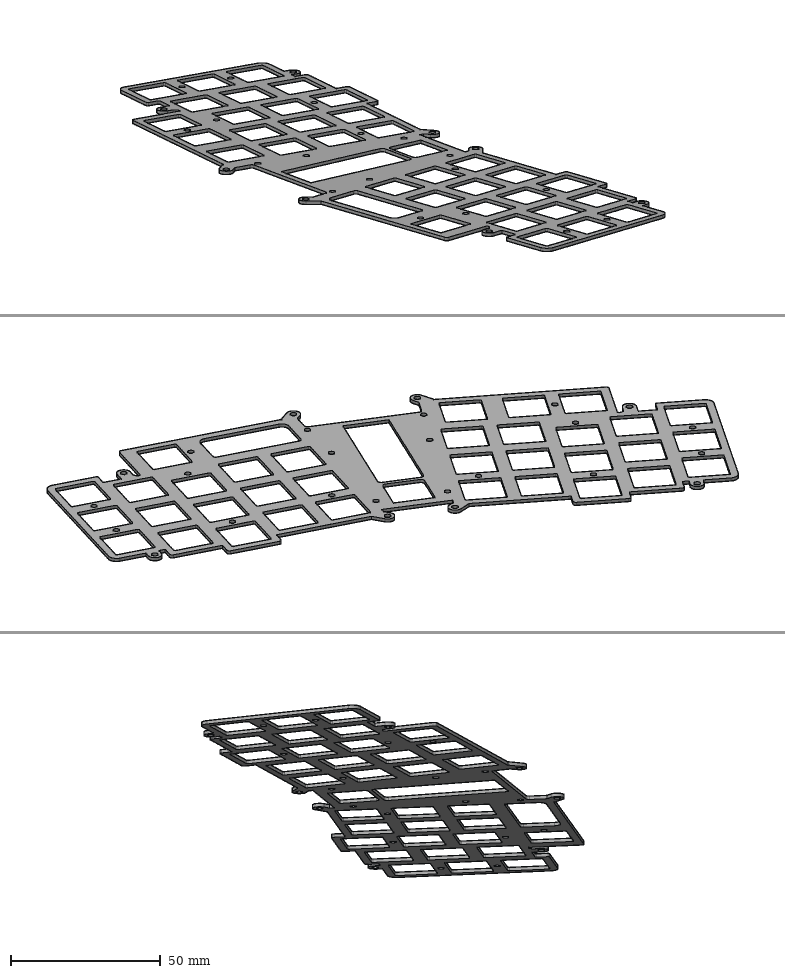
import cadquery as cq
import math


thickness = 1.2
pitch = 19.05
tilt = 7.0
grid_origin = (-100.55, 30.33)
key_opening = 14.3
rim = 9.84
stagger = pitch / 4
rows = 3
column_offsets = [0, stagger, 2 * stagger, stagger, stagger]

thumb_v = -2.75 * pitch
left_thumb_u = [1.75 * pitch, 2.75 * pitch, 3.875 * pitch]
right_thumb_u = 1.875 * pitch
wide_key_u = 3.5 * pitch
wide_opening = (32.0, 13.9)

step_u = pitch / 2
inner_u = 87.5
thumb_left_u = 23.1
first_column_bottom = -(rows - 1) * pitch - rim
second_column_bottom = first_column_bottom + stagger
bridge_top = 30.9
bridge_bottom = -33.9
bridge_half_width = 21.0

small_window = (14.5, 14.0)
small_window_y = 20.4
large_window = (16.0, 43.2)
large_window_y = -9.7

tab_radius = 2.4
neck_length = 5.0
neck_angle = 45
tab_hole = 2.2
screw_hole = 2.1
outer_top_tab = (4.9, 11.9)
outer_bottom_tab = (18.5, -46.8)
inner_top_tab = (inner_u, 16.3)
inner_bottom_tab = (inner_u, -64.23)
tabs = [outer_top_tab, outer_bottom_tab, inner_top_tab, inner_bottom_tab]
bridge_hole_u = 88.2
lower_bridge_hole = (87.3, -51.8)
shared_screws = [
    (0, -0.5 * pitch),
    (0, -1.5 * pitch),
    (2 * pitch, 0),
    (2 * pitch, -2 * pitch),
    (4 * pitch, -0.25 * pitch),
    (bridge_hole_u, 0.25 * pitch),
    (bridge_hole_u, -1.75 * pitch),
    lower_bridge_hole,
]
left_thumb_screw = (2.25 * pitch, thumb_v)
right_thumb_screw = (2.375 * pitch, thumb_v)

outer_corner = 3.0
plate_corner = 1.0
tight_corner = 0.5
tab_blend = 1.6
opening_corner = 0.5
wide_upper_corner = 1.0
wide_lower_corner = 2.5
window_corner = 1.3
bridge_corner = 1.0


def on_plate(point):
    """Plate (x, y) of a point on the left half's (u, v) grid."""
    u, v = point
    c = math.cos(math.radians(tilt))
    s = math.sin(math.radians(tilt))
    return (grid_origin[0] + u * c + v * s, grid_origin[1] - u * s + v * c)


def box_at(width, height, x, y):
    return cq.Workplane("XY").center(x, y).rect(width, height).extrude(thickness)


def tilted(solid):
    """Move a solid from the (u, v) grid onto the left half."""
    return solid.rotate((0, 0, 0), (0, 0, 1), -tilt).translate((*grid_origin, 0))


def mirrored(solid):
    return solid.mirror("YZ")


def round_corner(solid, point, radius):
    """Fillet the vertical edge at the given point."""
    edge = cq.selectors.NearestToPointSelector((*point, thickness / 2))
    return solid.edges("|Z").edges(edge).fillet(radius)


def straight_neck(tab, edge_v):
    """Strip as wide as a tab, from the tab's centre to the plate edge at edge_v."""
    u, v = tab
    return box_at(2 * tab_radius, abs(v - edge_v), u, (v + edge_v) / 2)


def diagonal_neck(tab, direction):
    """Strip as wide as a tab, running from the tab's centre back into the plate."""
    u, v = tab
    strip = box_at(neck_length, 2 * tab_radius, -neck_length / 2, 0)
    return strip.rotate((0, 0, 0), (0, 0, 1), direction).translate((u, v, 0))


def half_plate():
    """Left half without tabs or openings, on the (u, v) grid."""
    top = [offset + rim for offset in column_offsets]
    bottom = thumb_v - rim
    raised_left = 2 * pitch - rim
    raised_right = 2 * pitch + rim
    corners = [
        ((-rim, top[0]), outer_corner),
        ((step_u, top[0]), 0),
        ((step_u, top[1]), plate_corner),
        ((raised_left, top[1]), 0),
        ((raised_left, top[2]), plate_corner),
        ((raised_right, top[2]), plate_corner),
        ((raised_right, top[3]), 0),
        ((inner_u, top[4]), 0),
        ((inner_u, bottom), 0),
        ((thumb_left_u, bottom), plate_corner),
        ((thumb_left_u, second_column_bottom), tight_corner),
        ((step_u, second_column_bottom), tight_corner),
        ((step_u, first_column_bottom), tight_corner),
        ((-rim, first_column_bottom), outer_corner),
    ]
    outline = [point for point, radius in corners]
    plate = cq.Workplane("XY").polyline(outline).close().extrude(thickness)
    for point, radius in corners:
        if radius > 0:
            plate = round_corner(plate, point, radius)
    return plate


def add_tabs(plate):
    """Add the four round mounting tabs and the necks that carry them."""
    for u, v in tabs:
        plate = plate.union(cq.Workplane("XY").center(u, v).circle(tab_radius).extrude(thickness))
    plate = plate.union(straight_neck(outer_top_tab, rim))
    plate = plate.union(straight_neck(outer_bottom_tab, second_column_bottom))
    notch_corner = (outer_bottom_tab[0] + tab_radius, second_column_bottom)
    plate = round_corner(plate, notch_corner, tab_blend)
    plate = plate.union(diagonal_neck(inner_top_tab, neck_angle))
    return plate.union(diagonal_neck(inner_bottom_tab, -neck_angle))


def key_cutter(u, v):
    cutter = box_at(key_opening, key_opening, u, v)
    return tilted(cutter.edges("|Z").fillet(opening_corner))


def wide_key_cutter():
    cutter = box_at(*wide_opening, wide_key_u, thumb_v)
    cutter = cutter.edges("|Z and >Y").fillet(wide_upper_corner)
    return tilted(cutter.edges("|Z and <Y").fillet(wide_lower_corner))


def holes(points, diameter):
    places = [on_plate(point) for point in points]
    return cq.Workplane("XY").pushPoints(places).circle(diameter / 2).extrude(thickness)


def shared_cutters():
    """Openings and holes that both halves have."""
    cutters = [holes(tabs, tab_hole), holes(shared_screws, screw_hole)]
    for column, offset in enumerate(column_offsets):
        for row in range(rows):
            cutters.append(key_cutter(column * pitch, offset - row * pitch))
    return cutters


def left_thumb_cutters():
    cutters = [key_cutter(u, thumb_v) for u in left_thumb_u]
    return cutters + [holes([left_thumb_screw], screw_hole)]


def right_thumb_cutters():
    """Thumb cutters of the right half, placed on the left before mirroring."""
    return [
        key_cutter(right_thumb_u, thumb_v),
        wide_key_cutter(),
        holes([right_thumb_screw], screw_hole),
    ]


def bridge_half():
    """The part of the bridge left of the centre plane."""
    height = bridge_top - bridge_bottom
    return box_at(bridge_half_width, height, -bridge_half_width / 2, (bridge_top + bridge_bottom) / 2)


def bridge_lower_corner():
    """Where the bridge's lower edge meets the inner edge of the left half."""
    c = math.cos(math.radians(tilt))
    s = math.sin(math.radians(tilt))
    return on_plate((inner_u, (bridge_bottom - grid_origin[1] + inner_u * s) / c))


def windows():
    small = box_at(*small_window, 0, small_window_y).edges("|Z and <Y").fillet(window_corner)
    large = box_at(*large_window, 0, large_window_y).edges("|Z and >Y").fillet(window_corner)
    return [small, large]


left = tilted(add_tabs(half_plate())).union(bridge_half())
left = round_corner(left, bridge_lower_corner(), bridge_corner)
for cutter in shared_cutters():
    left = left.cut(cutter)
right = mirrored(left)
for cutter in left_thumb_cutters():
    left = left.cut(cutter)
for cutter in right_thumb_cutters():
    right = right.cut(mirrored(cutter))
result = left.union(right)
for cutter in windows():
    result = result.cut(cutter)